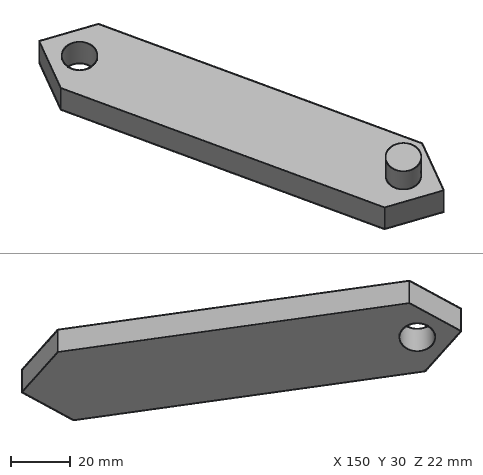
import cadquery as cq

length = 150.0
width = 30.0
thickness = 12.0
pin_height = 10.0
pin_diameter = 12.0
hole_diameter = pin_diameter

tip_length = width / 2
half_length = length / 2
half_width = width / 2
shoulder_x = half_length - tip_length

bar = (
    cq.Workplane("XY")
    .polyline([
        (-half_length, 0),
        (-shoulder_x, -half_width),
        (shoulder_x, -half_width),
        (half_length, 0),
        (shoulder_x, half_width),
        (-shoulder_x, half_width),
    ])
    .close()
    .extrude(thickness)
)

hole = (
    cq.Workplane("XY")
    .center(-shoulder_x, 0)
    .circle(hole_diameter / 2)
    .extrude(thickness)
)

pin = (
    cq.Workplane("XY")
    .center(shoulder_x, 0)
    .circle(pin_diameter / 2)
    .extrude(thickness + pin_height)
)

result = bar.cut(hole).union(pin)